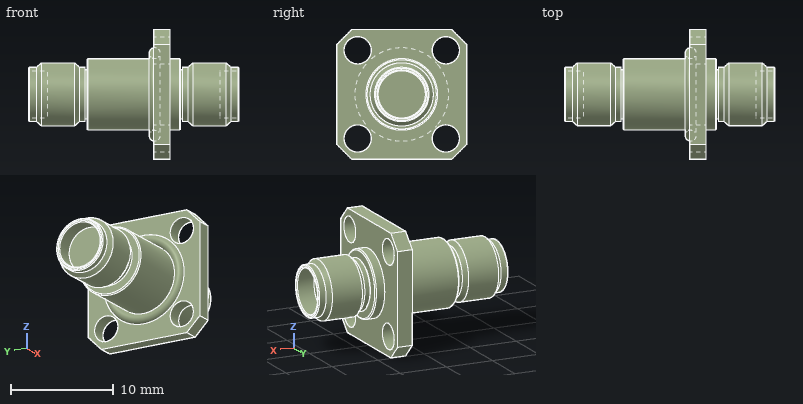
import cadquery as cq

LENGTH = 20.6
BARREL_START = 5.73
BARREL_END = LENGTH - BARREL_START
FLANGE_FACE = 12.24
FLANGE_THICKNESS = 1.6

BARREL_RADIUS = 3.5
BARREL_CHAMFER = 0.12

FLANGE_SIDE = 12.7
FLANGE_CORNER_CUT = 1.48
HOLE_SPACING = 8.61
HOLE_DIAMETER = 2.64

COLLAR_RADIUS = 2.65
COUPLING_RADIUS = 3.1
NECK_RADIUS = 2.4
CONE_LENGTH = 0.47
COLLAR_LENGTH = 0.8
COUPLING_END = 5.0
NECK_START = 5.56
RIM_CHAMFER = 0.1
BORE_RADIUS = 2.3
BORE_DEPTH = 1.9

RING_SECTION_RADIUS = 0.54
RING_CENTER_RADIUS = BARREL_RADIUS + RING_SECTION_RADIUS
RING_PROTRUSION = 0.43
RING_CENTER_X = FLANGE_FACE + RING_SECTION_RADIUS - RING_PROTRUSION


def revolve_about_axis(profile):
    """Turn a closed (x, radius) profile in the XY plane about the X axis."""
    return profile.close().revolve(360, (0, 0, 0), (1, 0, 0))


def make_coupling():
    """Stepped coupling with its open end at X = 0 and its neck reaching the barrel."""
    outline = [
        (BORE_DEPTH, 0),
        (BORE_DEPTH, BORE_RADIUS),
        (RIM_CHAMFER, BORE_RADIUS),
        (0, BORE_RADIUS + RIM_CHAMFER),
        (0, COLLAR_RADIUS - RIM_CHAMFER),
        (RIM_CHAMFER, COLLAR_RADIUS),
        (COLLAR_LENGTH, COLLAR_RADIUS),
        (COLLAR_LENGTH + CONE_LENGTH, COUPLING_RADIUS),
        (COUPLING_END - CONE_LENGTH, COUPLING_RADIUS),
        (COUPLING_END, COLLAR_RADIUS),
        (NECK_START, COLLAR_RADIUS),
        (NECK_START, NECK_RADIUS),
        (BARREL_START, NECK_RADIUS),
        (BARREL_START, 0),
    ]
    return revolve_about_axis(cq.Workplane("XY").polyline(outline))


def make_barrel():
    """Plain cylinder between the couplings, chamfered at both ends."""
    return (
        cq.Workplane("YZ", origin=(BARREL_START, 0, 0))
        .circle(BARREL_RADIUS)
        .extrude(BARREL_END - BARREL_START)
        .faces("<X or >X")
        .chamfer(BARREL_CHAMFER)
    )


def make_flange():
    """Square plate with cut corners and four mounting holes."""
    return (
        cq.Workplane("YZ", origin=(FLANGE_FACE, 0, 0))
        .rect(FLANGE_SIDE, FLANGE_SIDE)
        .extrude(FLANGE_THICKNESS)
        .edges("|X")
        .chamfer(FLANGE_CORNER_CUT)
        .faces("<X")
        .workplane()
        .rect(HOLE_SPACING, HOLE_SPACING, forConstruction=True)
        .vertices()
        .hole(HOLE_DIAMETER)
    )


def make_ring_groove():
    """Annular cutter with straight walls and a half-round floor that fits the ring."""
    outer_radius = RING_CENTER_RADIUS + RING_SECTION_RADIUS
    floor_point = (RING_CENTER_X + RING_SECTION_RADIUS, RING_CENTER_RADIUS)
    profile = (
        cq.Workplane("XY")
        .moveTo(FLANGE_FACE, BARREL_RADIUS)
        .lineTo(RING_CENTER_X, BARREL_RADIUS)
        .threePointArc(floor_point, (RING_CENTER_X, outer_radius))
        .lineTo(FLANGE_FACE, outer_radius)
    )
    return revolve_about_axis(profile)


def make_housing():
    """Barrel, grooved flange and a mirrored pair of couplings as one solid."""
    near_coupling = make_coupling()
    far_coupling = near_coupling.mirror("YZ").translate((LENGTH, 0, 0))
    grooved_flange = make_flange().cut(make_ring_groove())
    return make_barrel().union(grooved_flange).union(near_coupling).union(far_coupling)


def make_sealing_ring():
    """Round-section ring that hugs the barrel and stands proud of the flange."""
    return (
        cq.Workplane("XY")
        .center(RING_CENTER_X, RING_CENTER_RADIUS)
        .circle(RING_SECTION_RADIUS)
        .revolve(360, (0, -RING_CENTER_RADIUS, 0), (1, -RING_CENTER_RADIUS, 0))
    )


housing = make_housing()
sealing_ring = make_sealing_ring()

result = cq.Compound.makeCompound([housing.solids().val(), sealing_ring.solids().val()])